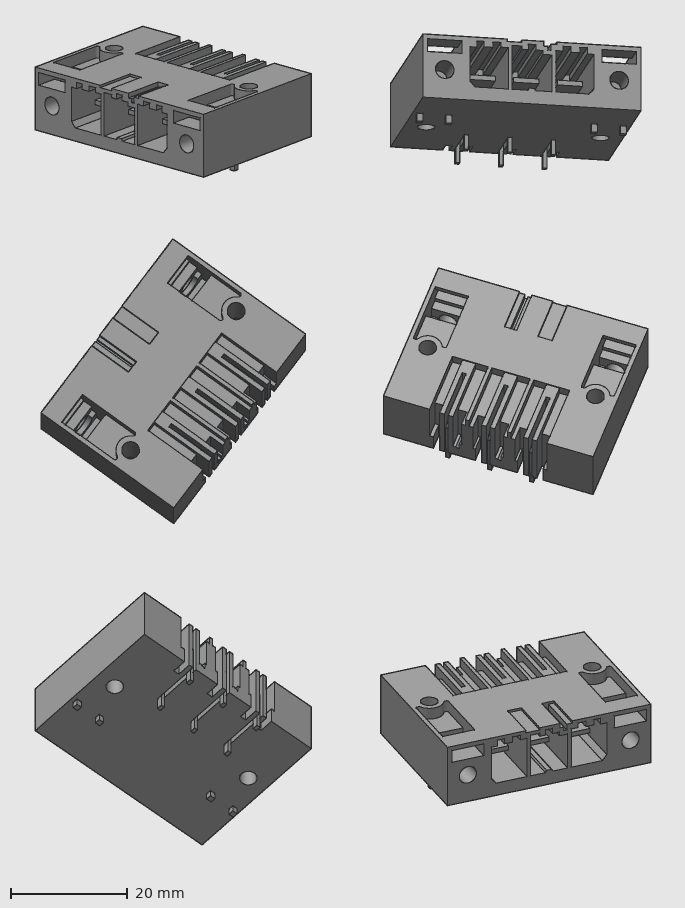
import cadquery as cq


WIDTH = 38.1
DEPTH = 28.3
HEIGHT = 11.4

PITCH = 7.62
POSITIONS = [-PITCH, 0, PITCH]
PLATE_THICKNESS = 0.7
LEG_WIDTH = 1.0
LEG_LENGTH = 2.6
REAR_LEG_Y = DEPTH - 1.2
LEG_SPACING = 7.5
FRONT_LEG_Y = REAR_LEG_Y - LEG_SPACING
PLATE_REAR_Y = REAR_LEG_Y + LEG_WIDTH / 2
PLATE_FRONT_Y = FRONT_LEG_Y - LEG_WIDTH / 2
HUMP_RISE = 2.0
HUMP_REAR_Y = PLATE_REAR_Y - HUMP_RISE
HUMP_FRONT_Y = HUMP_REAR_Y - 4.1
BLADE_WIDTH = 4.4
BLADE_THICKNESS = 0.85
BLADE_BOTTOM = 5.35
BLADE_TOP = BLADE_BOTTOM + BLADE_THICKNESS
BLADE_TIP_Y = 5.0

CAVITY_DEPTH = 15.6
CAVITY_FLOOR = 2.4
CAVITY_ROOF = 9.73
KEYWAY_ROOF = 10.72
OUTER_CAVITY_X = 10.8
OUTER_CAVITY_INNER_X = 4.15
OUTER_CHAMFER_X = 0.85
OUTER_CHAMFER_Z = 1.0
OUTER_ROOF_STEP = 0.13
OUTER_KEYWAYS = [(5.42, 6.85), (8.38, 9.65)]
MIDDLE_HALF_WIDTH = 3.47
MIDDLE_KEYWAY_HALF_WIDTH = 0.65
MIDDLE_LEFT_STEP_X = -1.75
MIDDLE_LEFT_ROOF = 10.3
MIDDLE_RIGHT_STEP_X = 1.92
MIDDLE_RIGHT_ROOF = 9.03
RIDGE_HEIGHT = 0.4
RIDGE_BASE_HALF_WIDTH = 0.7
RIDGE_TOP_HALF_WIDTH = 0.5

GROOVE_LENGTH = 7.8
GROOVE_DEPTH = 0.42
LEFT_GROOVE = (-4.33, -1.76, GROOVE_DEPTH)
RIGHT_GROOVE_STEPS = [(2.06, 2.76, 0.85), (2.76, 3.3, 1.55), (3.3, 4.32, GROOVE_DEPTH)]

BAY_LENGTH = 11.7
BAY_FLOOR = HEIGHT - 1.7
BAY_WALL_HALF_WIDTH = MIDDLE_HALF_WIDTH
OUTER_BAY_X = 10.65
RIB_WIDTH = 2.4
RIB_TOP = HEIGHT - 0.2
NOTCH_LENGTH = 2.68
NOTCH_MARGIN = 0.7
LEDGE_WIDTH = 0.42
LEDGE_TOP = 3.4
FLUTE_RADIUS = 0.8
FLUTE_AXIS_RISE = 0.5
FLUTE_FLOOR = CAVITY_FLOOR

EAR_X = 2 * PITCH
SCREW_HOLE_DIAMETER = 3.0
SCREW_HOLE_Y = DEPTH - 12.0
BOSS_RADIUS = 2.5
EAR_POCKET_WIDTH = 6.0
EAR_POCKET_FRONT_Y = 3.87
EAR_POCKET_REAR_Y = SCREW_HOLE_Y - 1.0
EAR_CORNER_RADIUS = 0.3
SHELF_TOP = 9.3
NUT_SLOT_REAR_Y = DEPTH - 19.5
NUT_SLOT_FRONT_Y = NUT_SLOT_REAR_Y - 2.0
NUT_SLOT_FLOOR = 2.2
SADDLE_FRONT_Y = NUT_SLOT_FRONT_Y - 0.97
SADDLE_RADIUS = 1.85
SILL_FRONT_Y = 4.15
SILL_TOP = 7.5
WINDOW_BOTTOM = 8.29
WINDOW_TOP = 10.58
FRONT_HOLE_DIAMETER = 3.2
FRONT_HOLE_Z = 5.2

PEG_SIZE = 1.0
PEG_SPACING = 5.08
PEG_LENGTH = 1.4
PEG_SEAT_DEPTH = 2.0
PEG_Y = DEPTH - 18.83


def block(x_range, y_range, z_range):
    """Box given by its start and end along each axis."""
    (x0, x1), (y0, y1), (z0, z1) = x_range, y_range, z_range
    return cq.Workplane("XY").box(x1 - x0, y1 - y0, z1 - z0, centered=False).translate((x0, y0, z0))


def span(centre, width):
    return (centre - width / 2, centre + width / 2)


def cylinder_along_y(x, z, radius, y_range):
    y0, y1 = y_range
    return cq.Workplane("XZ", origin=(x, y0, z)).circle(radius).extrude(y0 - y1)


def make_contact(x):
    """Upright plate with two solder legs, and a flat blade reaching forward."""
    rear_inner_y = PLATE_REAR_Y - LEG_WIDTH
    front_inner_y = PLATE_FRONT_Y + LEG_WIDTH
    profile = [
        (PLATE_REAR_Y, -LEG_LENGTH),
        (PLATE_REAR_Y, BLADE_TOP),
        (HUMP_REAR_Y, BLADE_TOP + HUMP_RISE),
        (HUMP_FRONT_Y, BLADE_TOP + HUMP_RISE),
        (HUMP_FRONT_Y, BLADE_TOP),
        (PLATE_FRONT_Y, BLADE_TOP),
        (PLATE_FRONT_Y, -LEG_LENGTH),
        (front_inner_y, -LEG_LENGTH),
        (front_inner_y, BLADE_BOTTOM),
        (rear_inner_y, BLADE_BOTTOM),
        (rear_inner_y, -LEG_LENGTH),
    ]
    plate = cq.Workplane("YZ", origin=(x, 0, 0)).polyline(profile).close()
    plate = plate.extrude(PLATE_THICKNESS / 2, both=True)
    blade = block(span(x, BLADE_WIDTH), (BLADE_TIP_Y, PLATE_FRONT_Y), (BLADE_BOTTOM, BLADE_TOP))
    return plate.union(blade)


def make_peg(x):
    return block(span(x, PEG_SIZE), span(PEG_Y, PEG_SIZE), (-PEG_LENGTH, PEG_SEAT_DEPTH))


def outer_cavity(side):
    """Cavity of an end way; its outer bottom edge is chamfered."""
    outline = [
        (OUTER_CAVITY_INNER_X, CAVITY_FLOOR),
        (OUTER_CAVITY_X - OUTER_CHAMFER_X, CAVITY_FLOOR),
        (OUTER_CAVITY_X, CAVITY_FLOOR + OUTER_CHAMFER_Z),
        (OUTER_CAVITY_X, CAVITY_ROOF - OUTER_ROOF_STEP),
        (OUTER_KEYWAYS[1][1], CAVITY_ROOF - OUTER_ROOF_STEP),
        (OUTER_KEYWAYS[1][1], CAVITY_ROOF),
        (OUTER_KEYWAYS[0][0], CAVITY_ROOF),
        (OUTER_KEYWAYS[0][0], CAVITY_ROOF + OUTER_ROOF_STEP),
        (OUTER_CAVITY_INNER_X, CAVITY_ROOF + OUTER_ROOF_STEP),
    ]
    placed = [(side * x, z) for x, z in outline]
    cavity = cq.Workplane("XZ").polyline(placed).close().extrude(-CAVITY_DEPTH)
    for near, far in OUTER_KEYWAYS:
        keyway_x = sorted((side * near, side * far))
        cavity = cavity.union(block(keyway_x, (0, CAVITY_DEPTH), (CAVITY_FLOOR, KEYWAY_ROOF)))
    return cavity


def middle_cavity():
    """Cavity of the middle way, with a stepped roof and a ridge along its floor."""
    outline = [
        (-MIDDLE_HALF_WIDTH, CAVITY_FLOOR),
        (-RIDGE_BASE_HALF_WIDTH, CAVITY_FLOOR),
        (-RIDGE_TOP_HALF_WIDTH, CAVITY_FLOOR + RIDGE_HEIGHT),
        (RIDGE_TOP_HALF_WIDTH, CAVITY_FLOOR + RIDGE_HEIGHT),
        (RIDGE_BASE_HALF_WIDTH, CAVITY_FLOOR),
        (MIDDLE_HALF_WIDTH, CAVITY_FLOOR),
        (MIDDLE_HALF_WIDTH, MIDDLE_RIGHT_ROOF),
        (MIDDLE_RIGHT_STEP_X, MIDDLE_RIGHT_ROOF),
        (MIDDLE_RIGHT_STEP_X, CAVITY_ROOF),
        (MIDDLE_KEYWAY_HALF_WIDTH, CAVITY_ROOF),
        (MIDDLE_KEYWAY_HALF_WIDTH, KEYWAY_ROOF),
        (-MIDDLE_KEYWAY_HALF_WIDTH, KEYWAY_ROOF),
        (-MIDDLE_KEYWAY_HALF_WIDTH, CAVITY_ROOF),
        (MIDDLE_LEFT_STEP_X, CAVITY_ROOF),
        (MIDDLE_LEFT_STEP_X, MIDDLE_LEFT_ROOF),
        (-MIDDLE_HALF_WIDTH, MIDDLE_LEFT_ROOF),
    ]
    return cq.Workplane("XZ").polyline(outline).close().extrude(-CAVITY_DEPTH)


def coding_groove(x_start, x_end, depth):
    return block((x_start, x_end), (0, GROOVE_LENGTH), (HEIGHT - depth, HEIGHT))


def bay_range(x):
    """Start and end of a bay in X; the end bays stop short of the ears."""
    left = max(x - BAY_WALL_HALF_WIDTH, -OUTER_BAY_X)
    right = min(x + BAY_WALL_HALF_WIDTH, OUTER_BAY_X)
    return left, right


def rear_bay(x):
    """Sunk bay open to the rear, leaving the slotted rib standing over the contact."""
    bay_y = (DEPTH - BAY_LENGTH, DEPTH)
    bay = block(bay_range(x), bay_y, (BAY_FLOOR, HEIGHT))
    rib = block(span(x, RIB_WIDTH), bay_y, (BAY_FLOOR, RIB_TOP))
    slot = block(span(x, PLATE_THICKNESS), (PLATE_FRONT_Y, DEPTH), (0, HEIGHT))
    return bay.cut(rib).union(slot)


def fluted_notch(wall_x, rib_x):
    """Notch left of a rib, closed below, with a rounded flute along its floor."""
    notch_y = (DEPTH - NOTCH_LENGTH, DEPTH)
    flute_x = wall_x + LEDGE_WIDTH
    notch = block((wall_x, rib_x), notch_y, (LEDGE_TOP, HEIGHT))
    lowered = block((flute_x, rib_x), notch_y, (FLUTE_FLOOR, HEIGHT))
    flute = cylinder_along_y(flute_x, FLUTE_FLOOR + FLUTE_AXIS_RISE, FLUTE_RADIUS, notch_y)
    flute = flute.intersect(block((flute_x, rib_x), notch_y, (0, FLUTE_FLOOR)))
    return notch.union(lowered).union(flute)


def open_notch(wall_x, ledge_width, rib_x):
    """Notch right through the bay floor, with a low ledge along the bay wall."""
    notch_y = (DEPTH - NOTCH_LENGTH, DEPTH)
    toward_rib = 1 if rib_x > wall_x else -1
    ledge_edge_x = wall_x + toward_rib * ledge_width
    notch = block(sorted((wall_x, rib_x)), notch_y, (LEDGE_TOP, HEIGHT))
    return notch.union(block(sorted((ledge_edge_x, rib_x)), notch_y, (0, HEIGHT)))


def rear_notches(x):
    """The pair of notches beside the rear end of a rib."""
    left, right = bay_range(x)
    rib_left, rib_right = span(x, RIB_WIDTH)
    if x == POSITIONS[0]:
        left_notch = open_notch(left, NOTCH_MARGIN, rib_left)
    else:
        left_notch = fluted_notch(left + NOTCH_MARGIN, rib_left)
    if x == POSITIONS[-1]:
        right_notch = open_notch(right, NOTCH_MARGIN, rib_right)
    else:
        right_notch = open_notch(right - NOTCH_MARGIN, LEDGE_WIDTH, rib_right)
    return left_notch.union(right_notch)


def ear_cuts(x):
    """Screw hole, nut pocket, front window and front hole of one ear."""
    pocket_x = span(x, EAR_POCKET_WIDTH)
    shelf = block(pocket_x, (NUT_SLOT_REAR_Y, EAR_POCKET_REAR_Y), (SHELF_TOP, HEIGHT))
    boss = cq.Workplane("XY").center(x, SCREW_HOLE_Y).circle(BOSS_RADIUS).extrude(HEIGHT)
    cuts = shelf.cut(boss)
    cuts = cuts.faces(">Y").edges("|Z").fillet(EAR_CORNER_RADIUS)
    cuts = cuts.union(block(pocket_x, (EAR_POCKET_FRONT_Y, NUT_SLOT_REAR_Y), (WINDOW_BOTTOM, HEIGHT)))
    cuts = cuts.union(block(pocket_x, (SILL_FRONT_Y, NUT_SLOT_REAR_Y), (SILL_TOP, HEIGHT)))
    cuts = cuts.union(block(pocket_x, (SADDLE_FRONT_Y, NUT_SLOT_REAR_Y), (FRONT_HOLE_Z, HEIGHT)))
    cuts = cuts.union(block(pocket_x, (NUT_SLOT_FRONT_Y, NUT_SLOT_REAR_Y), (NUT_SLOT_FLOOR, HEIGHT)))
    saddle_y = (SADDLE_FRONT_Y, NUT_SLOT_FRONT_Y)
    cuts = cuts.union(cylinder_along_y(x, FRONT_HOLE_Z, SADDLE_RADIUS, saddle_y))
    cuts = cuts.union(block(pocket_x, (0, SILL_FRONT_Y), (WINDOW_BOTTOM, WINDOW_TOP)))
    front_hole_y = (0, NUT_SLOT_FRONT_Y)
    cuts = cuts.union(cylinder_along_y(x, FRONT_HOLE_Z, FRONT_HOLE_DIAMETER / 2, front_hole_y))
    screw_hole = cq.Workplane("XY").center(x, SCREW_HOLE_Y).circle(SCREW_HOLE_DIAMETER / 2)
    return cuts.union(screw_hole.extrude(HEIGHT))


def make_housing(inserts):
    """Housing with seats cut to fit the given contacts and pegs."""
    housing = block(span(0, WIDTH), (0, DEPTH), (0, HEIGHT))
    housing = housing.cut(middle_cavity())
    for side in (-1, 1):
        housing = housing.cut(outer_cavity(side))
        housing = housing.cut(ear_cuts(side * EAR_X))
    for step in [LEFT_GROOVE] + RIGHT_GROOVE_STEPS:
        housing = housing.cut(coding_groove(*step))
    for x in POSITIONS:
        housing = housing.cut(rear_bay(x))
        housing = housing.cut(rear_notches(x))
    for insert in inserts:
        housing = housing.cut(insert)
    return housing


contacts = [make_contact(x) for x in POSITIONS]

pegs = []
for ear_x in (-EAR_X, EAR_X):
    for peg_x in span(ear_x, PEG_SPACING):
        pegs.append(make_peg(peg_x))

housing = make_housing(contacts + pegs)

bodies = [housing] + contacts + pegs
result = cq.Compound.makeCompound([body.solids().val() for body in bodies])